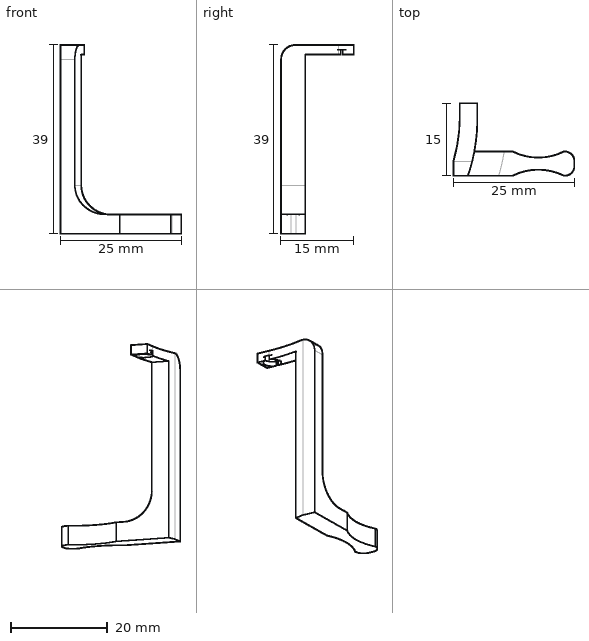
import cadquery as cq
import math

total_length = 25.0
total_reach = 15.0
total_height = 39.0

handle_width = 5.05
handle_thickness = 4.0
arm_thickness = 2.0
bend_radius = 3.0
inner_fillet_radius = 6.0

inner_wall_x = 1.33
outer_wall_x = 5.0
inner_arc_radius = 32.75
inner_arc_end_y = 12.2
outer_arc_radius = 35.88
outer_arc_end_y = 11.78

waist_start_x = 12.25
waist_end_x = 22.8
waist_depth = 1.25
end_radius = 2.0

pocket_radius = 1.87
pocket_depth = 0.98
pocket_breakthrough = 0.008
pocket_x = outer_wall_x - pocket_radius + pocket_breakthrough
pocket_end_distance = 2.5
pocket_y = total_reach - pocket_end_distance


def arc_x(wall_x, radius, end_y, y):
    """X of a wall arc that becomes parallel to Y at end_y."""
    return wall_x - radius + math.sqrt(radius**2 - (end_y - y) ** 2)


def inner_x(y):
    return arc_x(inner_wall_x, inner_arc_radius, inner_arc_end_y, y)


def outer_x(y):
    return arc_x(outer_wall_x, outer_arc_radius, outer_arc_end_y, y)


flat_end_y = inner_arc_end_y - math.sqrt(
    inner_arc_radius**2 - (inner_arc_radius - inner_wall_x) ** 2
)


def make_band():
    """Full-height band whose plan is the curved post and arm."""
    inner_mid_y = (flat_end_y + inner_arc_end_y) / 2
    outer_mid_y = outer_arc_end_y / 2
    return (
        cq.Workplane("XY")
        .moveTo(0, 0)
        .lineTo(outer_x(0), 0)
        .threePointArc((outer_x(outer_mid_y), outer_mid_y), (outer_wall_x, outer_arc_end_y))
        .lineTo(outer_wall_x, total_reach)
        .lineTo(inner_wall_x, total_reach)
        .lineTo(inner_wall_x, inner_arc_end_y)
        .threePointArc((inner_x(inner_mid_y), inner_mid_y), (0, flat_end_y))
        .close()
        .extrude(total_height)
    )


def make_side_profile():
    """L-shaped post and arm profile with a rounded outer bend."""
    bend_offset = bend_radius * (1 - math.sqrt(0.5))
    return (
        cq.Workplane("YZ")
        .moveTo(0, 0)
        .lineTo(handle_width, 0)
        .lineTo(handle_width, total_height - arm_thickness)
        .lineTo(total_reach, total_height - arm_thickness)
        .lineTo(total_reach, total_height)
        .lineTo(bend_radius, total_height)
        .threePointArc((bend_offset, total_height - bend_offset), (0, total_height - bend_radius))
        .close()
        .extrude(total_length)
    )


def make_handle():
    """Flat handle with a concave waist on each side and a rounded end."""
    start_x = outer_x(0) / 2
    waist_mid_x = (waist_start_x + waist_end_x) / 2
    handle = (
        cq.Workplane("XY")
        .moveTo(start_x, 0)
        .lineTo(waist_start_x, 0)
        .threePointArc((waist_mid_x, waist_depth), (waist_end_x, 0))
        .lineTo(total_length, 0)
        .lineTo(total_length, handle_width)
        .lineTo(waist_end_x, handle_width)
        .threePointArc((waist_mid_x, handle_width - waist_depth), (waist_start_x, handle_width))
        .lineTo(start_x, handle_width)
        .close()
        .extrude(handle_thickness)
    )
    return handle.edges("|Z and >X").fillet(end_radius)


def add_inner_fillet(body):
    """Round the curved corner where the post rises from the handle."""
    margin = 0.4
    corner = cq.selectors.BoxSelector(
        (outer_x(0), -margin, handle_thickness - margin),
        (outer_x(handle_width), handle_width + margin, handle_thickness + margin),
    )
    return body.edges(corner).fillet(inner_fillet_radius)


def make_pocket():
    return (
        cq.Workplane("XY", origin=(pocket_x, pocket_y, total_height - arm_thickness))
        .circle(pocket_radius)
        .extrude(pocket_depth)
    )


post_and_arm = make_band().intersect(make_side_profile())
body = add_inner_fillet(post_and_arm.union(make_handle()))
result = body.cut(make_pocket())